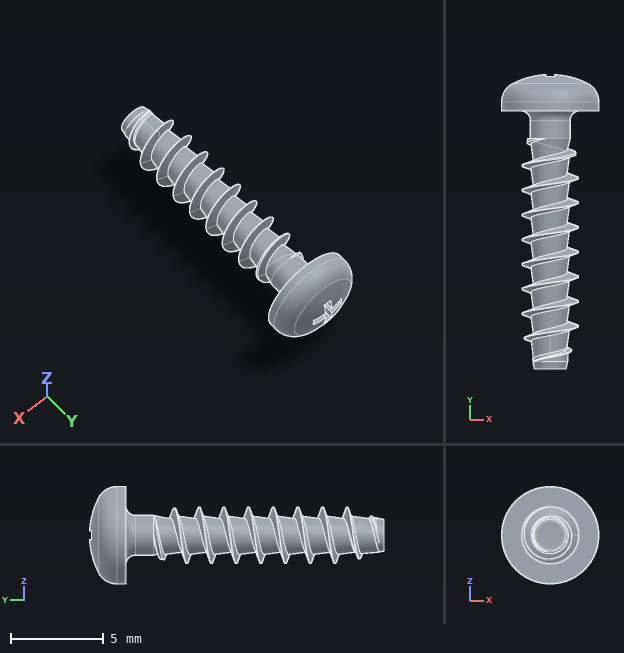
import cadquery as cq
import math


HEAD_RADIUS = 2.65
HEAD_HEIGHT = 2.0
DOME_RADIUS = 4.4
RIM_TOP = 0.5
RIM_FILLET = 0.05

WING_WIDTH = 0.46
WING_SPAN = 2.1
RECESS_FLOOR_SPAN = 1.2
RECESS_DEPTH = 1.2

NECK_RADIUS = 1.09
NECK_FILLET = 0.5
NECK_LENGTH = 1.5
RUNOUT_LENGTH = 0.75
RUNOUT_END_RADIUS = 0.9

SHANK_LENGTH = 14.0
CREST_RADIUS = 1.54
CREST_WIDTH = 0.03
PITCH = 1.34
FIRST_CREST = 2.29
ROOT_RADIUS_WIDE = 1.05
ROOT_RADIUS_NARROW = 0.92
FLANK_ANGLE = 18.0
GROOVE_RADIUS = CREST_RADIUS + CREST_WIDTH

START_CREST_RADIUS = 1.22
FULL_THREAD_START = 2.9
FULL_THREAD_END = 12.0
TAPER_END = 13.6
TAPER_END_RADIUS = 0.95
TIP_RADIUS = 0.865

DISH_RADIUS = 0.78
DISH_DEPTH = 0.04

FADE_START_ANGLE = 90
FADE_TURNS = 1.4
FADE_SHIFT = 0.14
FADED_ROOT_RADIUS = 0.93

NO_CONE = 360


def revolve(profile):
    """Turn a closed (radius, z) outline about the local Z axis."""
    return profile.close().revolve(360, (0, 0, 0), (0, 1, 0))


def make_head():
    """Domed pan head with a shoulder blending the dome into the rim."""
    dome_centre = DOME_RADIUS - HEAD_HEIGHT
    rise = dome_centre + RIM_TOP
    shoulder = (DOME_RADIUS**2 - HEAD_RADIUS**2 - rise**2) / (2 * (DOME_RADIUS - HEAD_RADIUS))
    centre_x = HEAD_RADIUS - shoulder
    blend = math.atan2(rise, centre_x)

    def on_shoulder(angle):
        return (centre_x + shoulder * math.cos(angle), -RIM_TOP - shoulder * math.sin(angle))

    def on_dome(angle):
        return (DOME_RADIUS * math.cos(angle), dome_centre - DOME_RADIUS * math.sin(angle))

    profile = (
        cq.Workplane("XZ")
        .lineTo(HEAD_RADIUS, 0)
        .lineTo(HEAD_RADIUS, -RIM_TOP)
        .threePointArc(on_shoulder(blend / 2), on_shoulder(blend))
        .threePointArc(on_dome((blend + math.pi / 2) / 2), (0, -HEAD_HEIGHT))
    )
    return revolve(profile).faces(">Z").edges().fillet(RIM_FILLET)


def make_recess():
    """Two crossed wings whose ends slope inwards towards the recess floor."""
    floor = RECESS_DEPTH - HEAD_HEIGHT
    wing = (
        cq.Workplane("XZ")
        .moveTo(-WING_SPAN / 2, -HEAD_HEIGHT)
        .lineTo(WING_SPAN / 2, -HEAD_HEIGHT)
        .lineTo(RECESS_FLOOR_SPAN / 2, floor)
        .lineTo(-RECESS_FLOOR_SPAN / 2, floor)
        .close()
        .extrude(WING_WIDTH / 2, both=True)
    )
    return wing.union(wing.rotate((0, 0, 0), (0, 0, 1), 90))


def make_neck():
    """Plain neck with the fillet under the head and the cone running into the thread core."""
    bend = NECK_FILLET * (1 - math.sqrt(0.5))
    runout_end = NECK_LENGTH + RUNOUT_LENGTH
    profile = (
        cq.Workplane("XZ")
        .lineTo(NECK_RADIUS + NECK_FILLET, 0)
        .threePointArc((NECK_RADIUS + bend, bend), (NECK_RADIUS, NECK_FILLET))
        .lineTo(NECK_RADIUS, NECK_LENGTH)
        .lineTo(RUNOUT_END_RADIUS, runout_end)
        .lineTo(0, runout_end)
    )
    return revolve(profile)


def make_thread_blank():
    """Turned envelope that holds all crests, tapered at both ends, with a hollow tip face."""
    dish_sphere = (DISH_RADIUS**2 + DISH_DEPTH**2) / (2 * DISH_DEPTH)
    dish_centre = SHANK_LENGTH - DISH_DEPTH + dish_sphere
    dish_half_way = dish_centre - math.sqrt(dish_sphere**2 - (DISH_RADIUS / 2) ** 2)
    profile = (
        cq.Workplane("XZ")
        .moveTo(0, NECK_LENGTH)
        .lineTo(START_CREST_RADIUS, NECK_LENGTH)
        .lineTo(CREST_RADIUS, FULL_THREAD_START)
        .lineTo(CREST_RADIUS, FULL_THREAD_END)
        .lineTo(TAPER_END_RADIUS, TAPER_END)
        .lineTo(TIP_RADIUS, SHANK_LENGTH)
        .lineTo(DISH_RADIUS, SHANK_LENGTH)
        .threePointArc((DISH_RADIUS / 2, dish_half_way), (0, SHANK_LENGTH - DISH_DEPTH))
    )
    return revolve(profile)


def flank_offset(radius):
    """Distance along the axis from the middle of a crest to its flank at a radius."""
    return CREST_WIDTH / 2 + (CREST_RADIUS - radius) * math.tan(math.radians(FLANK_ANGLE))


def helix_walls(section, start, turns):
    """Ruled faces between the helices of neighbouring section corners, and the helices.

    Each corner is (radius, z offset, pitch, cone angle), so corners may drift apart.
    """
    helices = [
        cq.Wire.makeHelix(pitch, pitch * turns, radius, center=cq.Vector(0, 0, start + offset), angle=cone)
        for radius, offset, pitch, cone in section
    ]
    neighbours = helices[1:] + helices[:1]
    return [cq.Face.makeRuledSurface(*pair) for pair in zip(helices, neighbours)], helices


def end_cap(corners):
    """Flat face closing one end of a helical groove."""
    return cq.Face.makeFromWires(cq.Wire.makePolygon(corners, close=True))


def solid_from(faces):
    """Solid enclosed by a closed set of faces."""
    return cq.Workplane(cq.Solid.makeSolid(cq.Shell.makeShell(faces)))


def make_groove():
    """Helical groove between crests; its bottom narrows towards the tip."""
    turns_above = 2
    turns = turns_above + math.ceil((SHANK_LENGTH - FIRST_CREST) / PITCH) + 1
    start = FIRST_CREST - turns_above * PITCH
    section = [
        (GROOVE_RADIUS, flank_offset(GROOVE_RADIUS), PITCH, NO_CONE),
        (ROOT_RADIUS_WIDE, flank_offset(ROOT_RADIUS_WIDE), PITCH, NO_CONE),
        (ROOT_RADIUS_NARROW, PITCH - flank_offset(ROOT_RADIUS_NARROW), PITCH, NO_CONE),
        (GROOVE_RADIUS, PITCH - flank_offset(GROOVE_RADIUS), PITCH, NO_CONE),
    ]
    faces = []
    caps = []
    for turn in range(turns):
        walls, helices = helix_walls(section, start + turn * PITCH, 1)
        faces += walls
        caps.append([helix.startPoint() for helix in helices])
    caps.append([helix.endPoint() for helix in helices])
    faces += [end_cap(caps[0]), end_cap(caps[-1])]
    return solid_from(faces)


def make_relief(section):
    """Short helical groove that trims the thread where it fades out at the tip.

    The section is given relative to the middle of the crest where the fading starts.
    """
    phase = FIRST_CREST + PITCH * FADE_START_ANGLE / 360
    start = phase + PITCH * round((FULL_THREAD_END - phase) / PITCH)
    walls, helices = helix_walls(section, start, FADE_TURNS)
    first_cap = end_cap([helix.startPoint() for helix in helices])
    last_cap = end_cap([helix.endPoint() for helix in helices])
    relief = solid_from(walls + [first_cap, last_cap])
    return relief.rotate((0, 0, 0), (0, 0, 1), FADE_START_ANGLE)


def make_tip_side_relief():
    """Moves the tip-side flank of the fading thread towards the head and narrows its root."""
    flank_pitch = PITCH - FADE_SHIFT
    root_taper = -math.degrees(math.atan2(ROOT_RADIUS_WIDE - FADED_ROOT_RADIUS, FADE_TURNS * flank_pitch))
    far_side = PITCH - flank_offset(ROOT_RADIUS_NARROW)
    return make_relief([
        (GROOVE_RADIUS, flank_offset(GROOVE_RADIUS), flank_pitch, NO_CONE),
        (ROOT_RADIUS_WIDE, flank_offset(ROOT_RADIUS_WIDE), flank_pitch, root_taper),
        (ROOT_RADIUS_NARROW, far_side, PITCH, NO_CONE),
        (GROOVE_RADIUS, far_side, PITCH, NO_CONE),
    ])


def make_head_side_relief():
    """Moves the head-side flank of the fading thread towards the tip."""
    flank_pitch = PITCH + FADE_SHIFT
    far_side = -PITCH / 2
    return make_relief([
        (GROOVE_RADIUS, far_side, PITCH, NO_CONE),
        (ROOT_RADIUS_WIDE, far_side, PITCH, NO_CONE),
        (ROOT_RADIUS_NARROW, -flank_offset(ROOT_RADIUS_NARROW), flank_pitch, NO_CONE),
        (GROOVE_RADIUS, -flank_offset(GROOVE_RADIUS), flank_pitch, NO_CONE),
    ])


threaded_shank = make_thread_blank().cut(make_groove())
for relief in (make_tip_side_relief(), make_head_side_relief()):
    threaded_shank = threaded_shank.cut(relief)
screw = make_head().cut(make_recess()).union(make_neck()).union(threaded_shank)

result = screw.rotate((0, 0, 0), (1, 0, 0), 90)